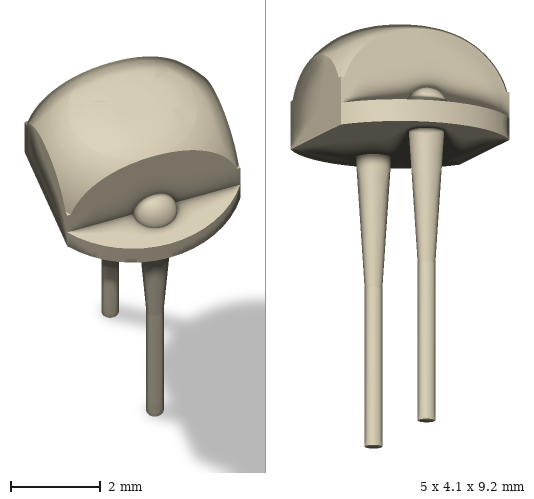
import cadquery as cq
import math

total_height = 9.2
flange_diameter = 5.0
depth = 4.1
flange_thickness = 0.5
block_height = 0.6
dome_height = 1.5
dome_crown_radius = 2.0
dome_flat_radius = 0.5
lead_offset = 1.5
head_radius = 0.5
taper_length = 3.0
taper_top_diameter = 0.79
lead_diameter = 0.4

lead_length = total_height - taper_length - flange_thickness - block_height - dome_height
flange_bottom = lead_length + taper_length
flange_top = flange_bottom + flange_thickness
block_top = flange_top + block_height
flange_radius = flange_diameter / 2
block_width = 2 * math.sqrt(flange_radius**2 - (depth / 2) ** 2)


def make_flange():
    """Round plate with two flats, facing -Y and +Y."""
    disc = cq.Workplane("XY", origin=(0, 0, flange_bottom)).circle(flange_radius).extrude(flange_thickness)
    flats = cq.Workplane("XY", origin=(0, 0, flange_bottom)).rect(flange_diameter, depth)
    return disc.intersect(flats.extrude(flange_thickness))


def make_head(x):
    """Hemispherical lead head resting on the flange."""
    ball = cq.Workplane("XY").sphere(head_radius)
    upper_half = cq.Workplane("XY").rect(2 * head_radius, 2 * head_radius).extrude(head_radius)
    return ball.intersect(upper_half).translate((x, 0, flange_top))


def make_block(heads):
    """Rectangular lens base, recessed where the lead heads enter it."""
    block = cq.Workplane("XY", origin=(0, 0, flange_top)).rect(block_width, depth).extrude(block_height)
    for head in heads:
        block = block.cut(head)
    return block


def make_dome():
    """Flat-topped dome trimmed to the sides of the block."""
    crown_center_z = dome_height - dome_crown_radius
    rim_radius = dome_flat_radius + math.sqrt(dome_crown_radius**2 - crown_center_z**2)
    rim_angle = math.asin(-crown_center_z / dome_crown_radius)
    middle_angle = (math.pi / 2 + rim_angle) / 2
    arc_middle = (
        dome_flat_radius + dome_crown_radius * math.cos(middle_angle),
        crown_center_z + dome_crown_radius * math.sin(middle_angle),
    )
    profile = (
        cq.Workplane("XZ")
        .lineTo(0, dome_height)
        .lineTo(dome_flat_radius, dome_height)
        .threePointArc(arc_middle, (rim_radius, 0))
        .close()
    )
    dome = profile.revolve(360, (0, 0, 0), (0, 1, 0))
    sides = cq.Workplane("XY").rect(block_width, depth).extrude(dome_height)
    return dome.intersect(sides).translate((0, 0, block_top))


def make_taper(x):
    """Cone narrowing downward from the flange to the lead."""
    return (
        cq.Workplane("XY", origin=(x, 0, lead_length))
        .circle(lead_diameter / 2)
        .workplane(offset=taper_length)
        .circle(taper_top_diameter / 2)
        .loft()
    )


def make_lead(x):
    """Straight round wire below the taper."""
    return cq.Workplane("XY", origin=(x, 0, 0)).circle(lead_diameter / 2).extrude(lead_length)


heads = []
tapers = []
leads = []
for lead_x in (-lead_offset, lead_offset):
    heads.append(make_head(lead_x))
    tapers.append(make_taper(lead_x))
    leads.append(make_lead(lead_x))

flange = make_flange()
block = make_block(heads)
dome = make_dome()

bodies = [flange, block, dome, *heads, *tapers, *leads]
result = cq.Compound.makeCompound([body.solids().val() for body in bodies])